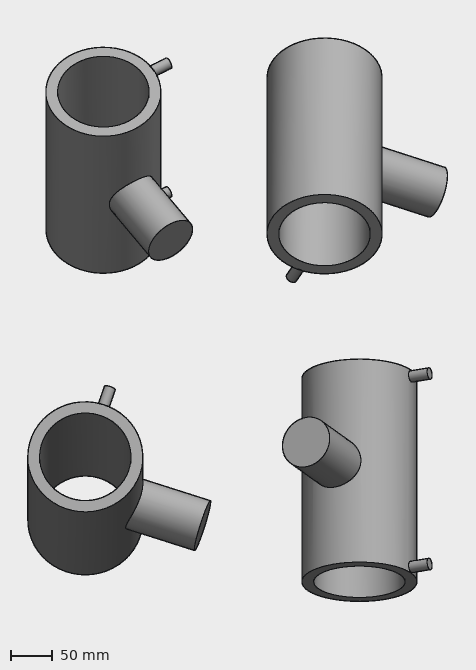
import cadquery as cq

tube_height = 260.0
tube_diameter = 138.5
bore_diameter = 110.0
tube_radius = tube_diameter / 2

branch_diameter = 63.2
branch_length = 79.3
branch_height = tube_height / 2

pin_diameter = 14.0
pin_length = 24.5
pin_end_offset = 8.0


def tube_cylinder(diameter):
    return cq.Workplane("XY").circle(diameter / 2).extrude(tube_height)


def radial_cylinder(diameter, projection, height, direction):
    """Solid cylinder from the tube axis to a given distance beyond its wall."""
    plane = cq.Plane(origin=(0, 0, height), xDir=(0, 0, 1), normal=direction)
    return cq.Workplane(plane).circle(diameter / 2).extrude(tube_radius + projection)


body = tube_cylinder(tube_diameter)
body = body.union(radial_cylinder(branch_diameter, branch_length, branch_height, (1, 0, 0)))
for pin_height in (pin_end_offset, tube_height - pin_end_offset):
    body = body.union(radial_cylinder(pin_diameter, pin_length, pin_height, (0, 1, 0)))

result = body.cut(tube_cylinder(bore_diameter))